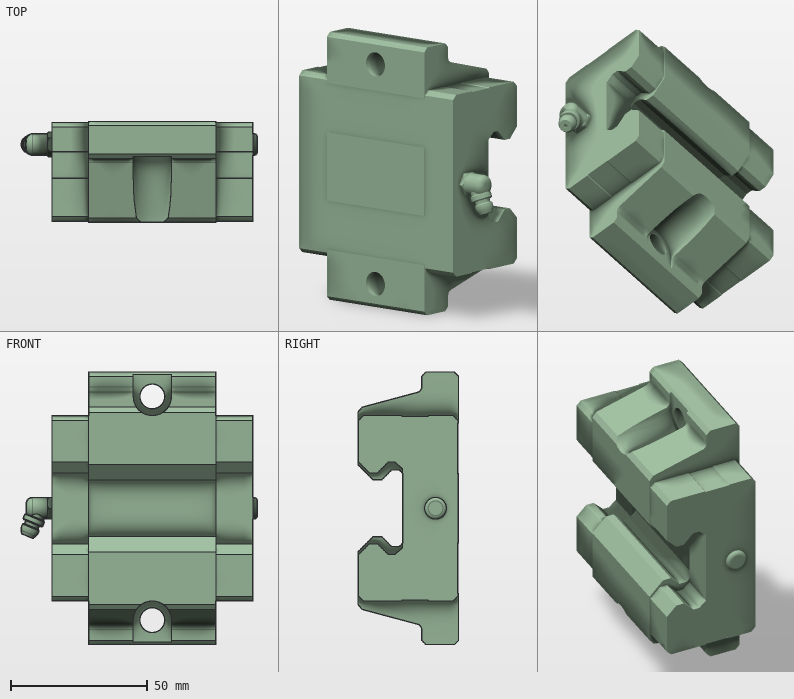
import cadquery as cq
import math


BLOCK_LENGTH = 46.7
BLOCK_DEPTH = 37.0
BLOCK_HALF_HEIGHT = 50.0
FLANGE_DEPTH = 13.6
FLANGE_CHAMFER = 1.6
SHOULDER_DEPTH = 35.4
SHOULDER_HEIGHT = 37.1
SHOULDER_END_HEIGHT = 35.2
FLANK_ANGLE = 15.0
FLANK_FILLET = 2.0

BLOCK_MOUTH_HEIGHT = 16.0
BLOCK_LIP_HEIGHT = 10.4
BLOCK_LIP_WIDTH = 3.2
BLOCK_POCKET_HEIGHT = 14.0
BLOCK_POCKET_DEPTH = 21.8
BLOCK_FLOOR_DEPTH = 19.2

RELIEF_INNER_HEIGHT = 12.7
RELIEF_OUTER_HEIGHT = 31.2

BOLT_HEIGHT = 41.0
BOLT_DIAMETER = 9.0
SLOT_RADIUS = 7.0
SLOT_FLOOR_DEPTH = 12.9

CAP_LENGTH = 13.5
CAP_INSET = 0.35
CAP_HALF_HEIGHT = 33.95
CAP_CHAMFER = 1.7
CAP_WAIST_INSET = 0.3
CAP_WAIST_START = 11.0
CAP_WAIST_END = 21.0
CAP_MOUTH_HEIGHT = 16.9
CAP_LIP_HEIGHT = 13.0
CAP_LIP_WIDTH = 3.0
CAP_POCKET_DEPTH = 23.4
CAP_FLOOR_DEPTH = 20.6
CAP_FLOOR_HEIGHT = 14.5

PORT_DEPTH = 8.5
PLUG_DIAMETER = 8.0
PLUG_LENGTH = 1.68
PLUG_FILLET = 1.3
HEX_ACROSS_FLATS = 8.0
HEX_LENGTH = 1.65
HEX_CHAMFER = 0.5
ELBOW_DIAMETER = 8.0
ELBOW_REACH = 9.45
ELBOW_FILLET = 2.4
NIPPLE_REACH = 4.79
NIPPLE_TILT = 22.5
LEG_RADIUS = 3.4
COLLAR_RADIUS = 7.85 / 2
COLLAR_START = 3.5
COLLAR_END = 5.95
COLLAR_CHAMFER = 0.4
NECK_RADIUS = 5.5 / 2
HEAD_RADIUS = 6.6 / 2
HEAD_START = 7.2
HEAD_CHAMFER = 0.4
HEAD_BULGE_END = 9.9
HEAD_BULGE_END_RADIUS = 2.9
HEAD_END = 11.05
HEAD_END_RADIUS = 2.3
BORE_DIAMETER = 1.4
BORE_DEPTH = 1.0

CAP_FACE_X = BLOCK_LENGTH / 2 + CAP_LENGTH


def symmetric_bar(half_outline, x_start, length):
    """Extrude along X a (depth, height) half outline mirrored about mid-height."""
    upper = [(-depth, height) for depth, height in half_outline]
    lower = [(y, -z) for y, z in reversed(upper)]
    return cq.Workplane("YZ", origin=(x_start, 0, 0)).polyline(upper + lower).close().extrude(length)


def make_block():
    flank_rise = (SHOULDER_DEPTH - FLANGE_DEPTH) * math.tan(math.radians(FLANK_ANGLE))
    flank_root_height = SHOULDER_HEIGHT + flank_rise
    chamfer_height = BLOCK_HALF_HEIGHT - FLANGE_CHAMFER
    lip_outer_depth = BLOCK_DEPTH - (BLOCK_MOUTH_HEIGHT - BLOCK_LIP_HEIGHT)
    lip_inner_depth = lip_outer_depth - BLOCK_LIP_WIDTH
    pocket_outer_depth = lip_inner_depth - (BLOCK_POCKET_HEIGHT - BLOCK_LIP_HEIGHT)
    floor_height = BLOCK_POCKET_HEIGHT - (BLOCK_POCKET_DEPTH - BLOCK_FLOOR_DEPTH)
    half_outline = [
        (0, chamfer_height),
        (FLANGE_CHAMFER, BLOCK_HALF_HEIGHT),
        (FLANGE_DEPTH - FLANGE_CHAMFER, BLOCK_HALF_HEIGHT),
        (FLANGE_DEPTH, chamfer_height),
        (FLANGE_DEPTH, flank_root_height),
        (SHOULDER_DEPTH, SHOULDER_HEIGHT),
        (BLOCK_DEPTH, SHOULDER_END_HEIGHT),
        (BLOCK_DEPTH, BLOCK_MOUTH_HEIGHT),
        (lip_outer_depth, BLOCK_LIP_HEIGHT),
        (lip_inner_depth, BLOCK_LIP_HEIGHT),
        (pocket_outer_depth, BLOCK_POCKET_HEIGHT),
        (BLOCK_POCKET_DEPTH, BLOCK_POCKET_HEIGHT),
        (BLOCK_FLOOR_DEPTH, floor_height),
    ]
    block = symmetric_bar(half_outline, -BLOCK_LENGTH / 2, BLOCK_LENGTH)
    for side in (1, -1):
        root = cq.selectors.NearestToPointSelector((0, -FLANGE_DEPTH, side * flank_root_height))
        block = block.edges(root).fillet(FLANK_FILLET)
    for side in (1, -1):
        block = block.cut(relief_band(side)).cut(bolt_cutter(side))
    return block


def relief_band(side):
    """Shallow band sunk into the mounting face, level with the caps."""
    width = RELIEF_OUTER_HEIGHT - RELIEF_INNER_HEIGHT
    middle = side * (RELIEF_OUTER_HEIGHT + RELIEF_INNER_HEIGHT) / 2
    return cq.Workplane("XY").box(BLOCK_LENGTH, 2 * CAP_INSET, width).translate((0, 0, middle))


def bolt_cutter(side):
    """Through hole with a round-ended slot that is open to the flange edge."""
    center_z = side * BOLT_HEIGHT
    hole = (
        cq.Workplane("XZ", origin=(0, 0, center_z))
        .circle(BOLT_DIAMETER / 2)
        .extrude(BLOCK_DEPTH)
    )
    slot_depth = BLOCK_DEPTH - SLOT_FLOOR_DEPTH
    slot_plane = cq.Workplane("XZ", origin=(0, -SLOT_FLOOR_DEPTH, center_z))
    slot_end = slot_plane.circle(SLOT_RADIUS).extrude(slot_depth)
    edge_distance = BLOCK_HALF_HEIGHT - BOLT_HEIGHT
    slot_run = (
        slot_plane.center(0, side * edge_distance / 2)
        .rect(2 * SLOT_RADIUS, edge_distance)
        .extrude(slot_depth)
    )
    return hole.union(slot_end).union(slot_run)


def make_cap(x_start):
    front_depth = BLOCK_DEPTH - CAP_INSET
    chamfer_height = CAP_HALF_HEIGHT - CAP_CHAMFER
    waist_height = CAP_HALF_HEIGHT - CAP_WAIST_INSET
    lip_outer_depth = front_depth - (CAP_MOUTH_HEIGHT - CAP_LIP_HEIGHT)
    lip_inner_depth = lip_outer_depth - CAP_LIP_WIDTH
    pocket_outer_depth = lip_inner_depth - (CAP_MOUTH_HEIGHT - CAP_LIP_HEIGHT)
    half_outline = [
        (CAP_INSET, chamfer_height),
        (CAP_INSET + CAP_CHAMFER, CAP_HALF_HEIGHT),
        (CAP_WAIST_START, CAP_HALF_HEIGHT),
        (CAP_WAIST_START + CAP_WAIST_INSET, waist_height),
        (CAP_WAIST_END - CAP_WAIST_INSET, waist_height),
        (CAP_WAIST_END, CAP_HALF_HEIGHT),
        (front_depth - CAP_CHAMFER, CAP_HALF_HEIGHT),
        (front_depth, chamfer_height),
        (front_depth, CAP_MOUTH_HEIGHT),
        (lip_outer_depth, CAP_LIP_HEIGHT),
        (lip_inner_depth, CAP_LIP_HEIGHT),
        (pocket_outer_depth, CAP_MOUTH_HEIGHT),
        (CAP_POCKET_DEPTH, CAP_MOUTH_HEIGHT),
        (CAP_FLOOR_DEPTH, CAP_FLOOR_HEIGHT),
    ]
    return symmetric_bar(half_outline, x_start, CAP_LENGTH)


def make_plug():
    plug = (
        cq.Workplane("YZ", origin=(CAP_FACE_X, -PORT_DEPTH, 0))
        .circle(PLUG_DIAMETER / 2)
        .extrude(PLUG_LENGTH)
    )
    return plug.faces(">X").edges().fillet(PLUG_FILLET)


def make_elbow_body():
    """Hexagon against the cap, followed by the round-nosed elbow."""
    base = cq.Workplane("YZ", origin=(-CAP_FACE_X, -PORT_DEPTH, 0))
    across_corners = HEX_ACROSS_FLATS / math.cos(math.radians(30))
    hexagon = base.polygon(6, across_corners).extrude(-HEX_LENGTH)
    corner_cone = base.circle(across_corners / 2).extrude(-HEX_LENGTH)
    corner_cone = corner_cone.faces("<X").chamfer(HEX_CHAMFER)
    barrel = base.circle(ELBOW_DIAMETER / 2).extrude(-ELBOW_REACH)
    barrel = barrel.faces("<X").edges().fillet(ELBOW_FILLET)
    return hexagon.intersect(corner_cone).union(barrel)


def make_nipple():
    """Turned nipple, modelled pointing along -Z and then tilted away from the cap."""
    bulge_middle = (HEAD_START + HEAD_CHAMFER + HEAD_BULGE_END) / 2
    nipple = (
        cq.Workplane("XZ")
        .lineTo(LEG_RADIUS, 0)
        .lineTo(LEG_RADIUS, -COLLAR_START)
        .lineTo(COLLAR_RADIUS, -COLLAR_START - COLLAR_CHAMFER)
        .lineTo(COLLAR_RADIUS, -COLLAR_END + COLLAR_CHAMFER)
        .lineTo(COLLAR_RADIUS - COLLAR_CHAMFER, -COLLAR_END)
        .lineTo(NECK_RADIUS, -COLLAR_END)
        .lineTo(NECK_RADIUS, -HEAD_START)
        .lineTo(HEAD_RADIUS - HEAD_CHAMFER, -HEAD_START)
        .lineTo(HEAD_RADIUS, -HEAD_START - HEAD_CHAMFER)
        .threePointArc((HEAD_RADIUS, -bulge_middle), (HEAD_BULGE_END_RADIUS, -HEAD_BULGE_END))
        .lineTo(HEAD_END_RADIUS, -HEAD_END)
        .lineTo(0, -HEAD_END)
        .close()
        .revolve(360, (0, 0, 0), (0, 1, 0))
    )
    bore = cq.Workplane("XY", origin=(0, 0, -HEAD_END)).circle(BORE_DIAMETER / 2).extrude(BORE_DEPTH)
    nipple = nipple.cut(bore)
    nipple = nipple.rotate((0, 0, 0), (0, 1, 0), NIPPLE_TILT)
    return nipple.translate((-CAP_FACE_X - NIPPLE_REACH, -PORT_DEPTH, 0))


result = (
    make_block()
    .union(make_cap(-CAP_FACE_X))
    .union(make_cap(BLOCK_LENGTH / 2))
    .union(make_plug())
    .union(make_elbow_body())
    .union(make_nipple())
)